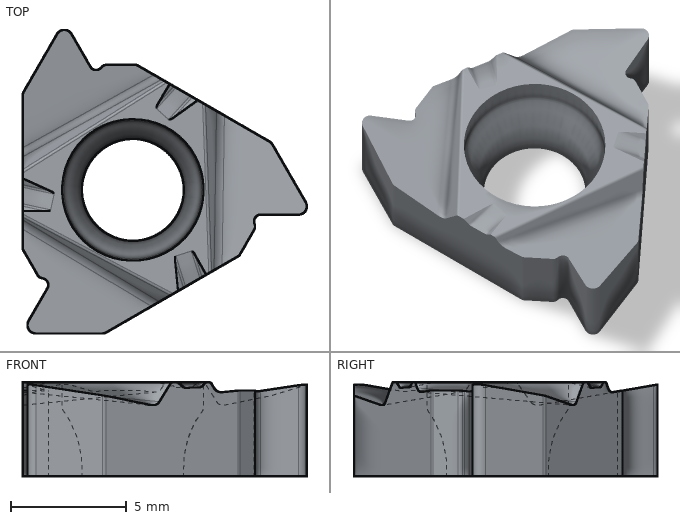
import cadquery as cq
import math

height = 4.07
tooth_count = 3
pitch_angle = 360 / tooth_count

side_distance = 4.76
heel_flank_distance = 6.2
toe_flank_distance = 1.08
tip_radius = 0.37
heel_radius = 0.31
shoulder_y = 5.4
shoulder_radius = 0.21
notch_y = 5.18
notch_rise_x = -1.47
notch_radius = 0.26
notch_lip_radius = 0.26

rake_x = -0.152
rake_y = -0.085
axis_floor_z = 2.77
wall_distance = 3.23
wall_heading = -27.9
wall_slope = 59.0
wall_foot_radius = 0.34
wall_crest_radius = 0.15
cutter_reach = 11.81

crest_min_length = 5.25

ramp_start = (-3.48, -0.52)
ramp_heading = 167.5
ramp_width = 0.81
ramp_fall = 0.18
ramp_length = 2.62
ramp_side_slope = 40.0
ramp_corner_radius = 0.16
ramp_clearance = 0.79

bore_diameter = 4.4
recess_diameter = 6.11
recess_depth = 1.06
bowl_rim_radius = 2.98
bowl_rim_depth = 1.29
bowl_radius = 4.03


def rounded_outline(workplane, corners):
    """Draw a closed outline through (x, y, radius) corners, rounding each with a tangent arc."""
    rounded = []
    for index, (x, y, radius) in enumerate(corners):
        corner = cq.Vector(x, y)
        before = corners[index - 1]
        after = corners[(index + 1) % len(corners)]
        to_before = (cq.Vector(before[0], before[1]) - corner).normalized()
        to_after = (cq.Vector(after[0], after[1]) - corner).normalized()
        half_angle = to_before.getAngle(to_after) / 2
        setback = radius / math.tan(half_angle)
        bisector = (to_before + to_after).normalized()
        middle = corner + bisector * (radius / math.sin(half_angle) - radius)
        rounded.append((corner + to_before * setback, middle, corner + to_after * setback, radius))

    first_start = rounded[0][0]
    path = workplane.moveTo(first_start.x, first_start.y)
    for index, (start, middle, end, radius) in enumerate(rounded):
        if index > 0:
            path = path.lineTo(start.x, start.y)
        if radius > 0:
            path = path.threePointArc((middle.x, middle.y), (end.x, end.y))
    return path.close()


def around_axis(shape):
    """Return the shape and its copies at every tooth."""
    return [shape.rotate((0, 0, 0), (0, 0, 1), index * pitch_angle) for index in range(tooth_count)]


def rotated_corner(corner, angle):
    """Return an outline corner turned about the bore axis by an angle in radians."""
    x, y, radius = corner
    turned = math.atan2(y, x) + angle
    distance = math.hypot(x, y)
    return (distance * math.cos(turned), distance * math.sin(turned), radius)


def make_blank():
    """Plain body whose tooth flanks and main sides are all set at 30 degrees to the axes."""
    sin30 = math.sin(math.radians(30))
    cos30 = math.cos(math.radians(30))
    tip_x = (toe_flank_distance - heel_flank_distance) / (2 * cos30)
    tip_y = heel_flank_distance + toe_flank_distance
    heel_y = (heel_flank_distance - side_distance * cos30) / sin30
    notch_x = (toe_flank_distance - notch_y * sin30) / cos30
    shoulder_x = notch_rise_x + shoulder_y - notch_y
    shoulder_end_x = (side_distance - shoulder_y * cos30) / sin30
    tooth = [
        (-side_distance, heel_y, heel_radius),
        (tip_x, tip_y, tip_radius),
        (notch_x, notch_y, notch_radius),
        (notch_rise_x, notch_y, notch_radius),
        (shoulder_x, shoulder_y, notch_lip_radius),
        (shoulder_end_x, shoulder_y, shoulder_radius),
    ]
    corners = []
    for index in range(tooth_count):
        angle = -math.radians(index * pitch_angle)
        corners += [rotated_corner(corner, angle) for corner in tooth]
    return rounded_outline(cq.Workplane("XY"), corners).extrude(height)


def make_tooth_top_cutter():
    """Wedge above the tooth that points to -X -Y, bounded by its top plane and the wall."""
    heading = math.radians(wall_heading)
    slope = math.radians(wall_slope)
    outward = cq.Vector(math.sin(heading), -math.cos(heading), 0)
    floor_normal = cq.Vector(-rake_x, -rake_y, 1).normalized()
    wall_normal = outward * math.sin(slope) + cq.Vector(0, 0, math.cos(slope))

    floor_rise = rake_x * outward.x + rake_y * outward.y
    wall_fall = math.tan(slope)
    foot_distance = (height - axis_floor_z + wall_distance * wall_fall) / (floor_rise + wall_fall)
    foot = outward * foot_distance + cq.Vector(0, 0, axis_floor_z + floor_rise * foot_distance)

    foot_line = wall_normal.cross(floor_normal).normalized()
    across_floor = floor_normal.cross(foot_line)
    wall_up = foot_line.cross(wall_normal)
    wall_x = wall_up.dot(across_floor) * cutter_reach
    wall_y = wall_up.dot(floor_normal) * cutter_reach
    profile_plane = cq.Plane(origin=foot, xDir=across_floor, normal=foot_line)
    corners = [
        (0, 0, wall_foot_radius),
        (cutter_reach, 0, 0),
        (cutter_reach, wall_y, 0),
        (wall_x, wall_y, 0),
    ]
    return rounded_outline(cq.Workplane(profile_plane), corners).extrude(cutter_reach, both=True)


def make_ramp_cutter():
    """Flared channel that starts at the top face and falls outward to the left side."""
    heading = math.radians(ramp_heading)
    along = cq.Vector(math.cos(heading), math.sin(heading), -ramp_fall)
    across = cq.Vector(-math.sin(heading), math.cos(heading), 0)
    start = cq.Vector(ramp_start[0], ramp_start[1], height)
    profile_plane = cq.Plane(origin=start, xDir=across * -1, normal=along * -1)
    half_floor = ramp_width / 2
    half_top = half_floor + ramp_clearance / math.tan(math.radians(ramp_side_slope))
    corners = [
        (-half_floor, 0, ramp_corner_radius),
        (half_floor, 0, ramp_corner_radius),
        (half_top, ramp_clearance, 0),
        (-half_top, ramp_clearance, 0),
    ]
    return rounded_outline(cq.Workplane(profile_plane), corners).extrude(-ramp_length)


def make_bore_cutter():
    """Straight recess, then a bowl curving in until it runs straight into the bore."""
    bore_radius = bore_diameter / 2
    recess_radius = recess_diameter / 2
    bowl_angle = math.acos(1 - (bowl_rim_radius - bore_radius) / bowl_radius)
    bowl_rim_z = height - bowl_rim_depth
    bowl_end_z = bowl_rim_z - bowl_radius * math.sin(bowl_angle)
    bowl_middle_x = bore_radius + bowl_radius * (1 - math.cos(bowl_angle / 2))
    bowl_middle_z = bowl_end_z + bowl_radius * math.sin(bowl_angle / 2)
    return (
        cq.Workplane("XZ")
        .moveTo(0, height)
        .lineTo(recess_radius, height)
        .lineTo(recess_radius, height - recess_depth)
        .tangentArcPoint((bowl_rim_radius, bowl_rim_z), relative=False)
        .threePointArc((bowl_middle_x, bowl_middle_z), (bore_radius, bowl_end_z))
        .lineTo(bore_radius, 0)
        .lineTo(0, 0)
        .close()
        .revolve(360, (0, 0, 0), (0, 1, 0))
    )


result = make_blank()
for cutter in around_axis(make_tooth_top_cutter()):
    result = result.cut(cutter)
crests = result.faces(">Z").edges().filter(lambda edge: edge.Length() > crest_min_length)
result = crests.fillet(wall_crest_radius)
for cutter in around_axis(make_ramp_cutter()):
    result = result.cut(cutter)
result = result.cut(make_bore_cutter())